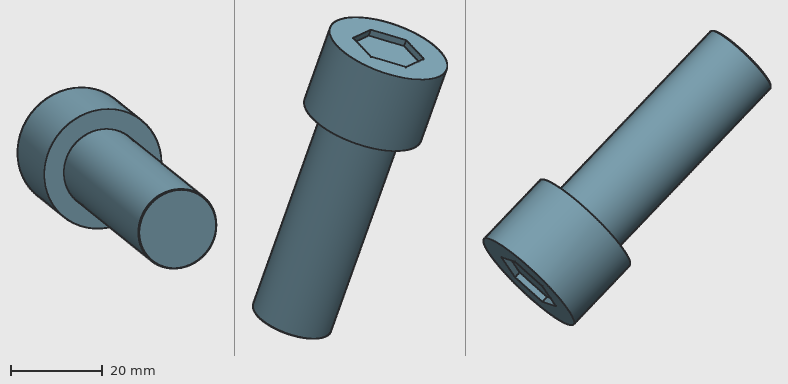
import cadquery as cq
import math

total_length = 68.0
head_diameter = 27.0
head_length = 18.0
shank_diameter = 18.0
tip_chamfer = 0.2
socket_across_flats = 14.0
socket_depth = 1.5

head_face_x = -total_length / 2


def make_cylinder(diameter, length):
    """Cylinder along +X that starts at the outer face of the head."""
    return cq.Workplane("YZ", origin=(head_face_x, 0, 0)).circle(diameter / 2).extrude(length)


def make_socket():
    """Hexagonal recess with two corners on the Y axis and flats facing +Z and -Z."""
    across_corners = socket_across_flats / math.cos(math.pi / 6)
    return cq.Workplane("YZ", origin=(head_face_x, 0, 0)).polygon(6, across_corners).extrude(socket_depth)


head = make_cylinder(head_diameter, head_length)
shank = make_cylinder(shank_diameter, total_length).faces(">X").chamfer(tip_chamfer)

result = head.union(shank).cut(make_socket())